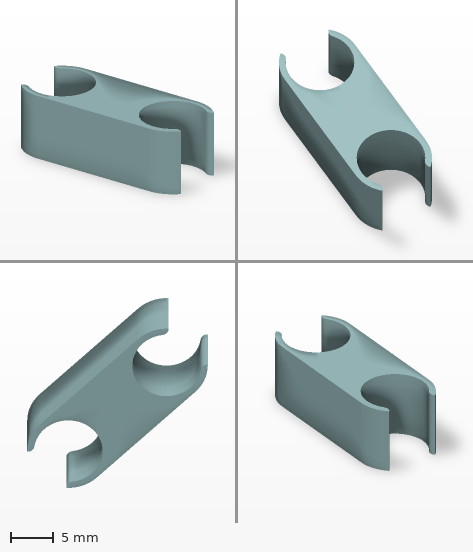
import cadquery as cq
import math

length = 23.0
width = 9.6
height = 8.0
seat_spacing = 16.0
seat_radius = 4.0

outer_radius = width / 2
wall = outer_radius - seat_radius
seat_x = seat_spacing / 2
tip_x = length / 2

tip_angle = math.acos((tip_x - seat_x) / outer_radius)
lip_angle = tip_angle + 2 * math.asin(wall / (2 * outer_radius))


def polar(radius, angle):
    """Point at an angle about the right-hand seat centre."""
    return (seat_x + radius * math.cos(angle), radius * math.sin(angle))


def mirror_x(point):
    return (-point[0], point[1])


def mirror_y(point):
    return (point[0], -point[1])


def rotate_half_turn(point):
    return (-point[0], -point[1])


flat_end = (seat_x, outer_radius)
outer_mid = polar(outer_radius, (math.pi / 2 + tip_angle) / 2)
tip = polar(outer_radius, tip_angle)
lip_start = polar(seat_radius, lip_angle)
seat_back = (seat_x - seat_radius, 0)

lip_center = polar(outer_radius, lip_angle)
tip_direction = math.atan2(tip[1] - lip_center[1], tip[0] - lip_center[0])
seat_direction = lip_angle - math.pi
lip_direction = (tip_direction + seat_direction) / 2
lip_mid = (
    lip_center[0] + wall * math.cos(lip_direction),
    lip_center[1] + wall * math.sin(lip_direction),
)


def add_clip_end(outline, place, place_opposite):
    """Trace one jaw, the seat and the opposite jaw of a clip end."""
    return (
        outline.threePointArc(place(outer_mid), place(tip))
        .threePointArc(place(lip_mid), place(lip_start))
        .threePointArc(place(seat_back), place_opposite(lip_start))
        .threePointArc(place_opposite(lip_mid), place_opposite(tip))
        .threePointArc(place_opposite(outer_mid), place_opposite(flat_end))
    )


def keep(point):
    return point


outline = cq.Workplane("XY").moveTo(*mirror_x(flat_end)).lineTo(*flat_end)
outline = add_clip_end(outline, keep, mirror_y)
outline = outline.lineTo(*rotate_half_turn(flat_end))
outline = add_clip_end(outline, rotate_half_turn, mirror_x)

result = outline.close().extrude(height)